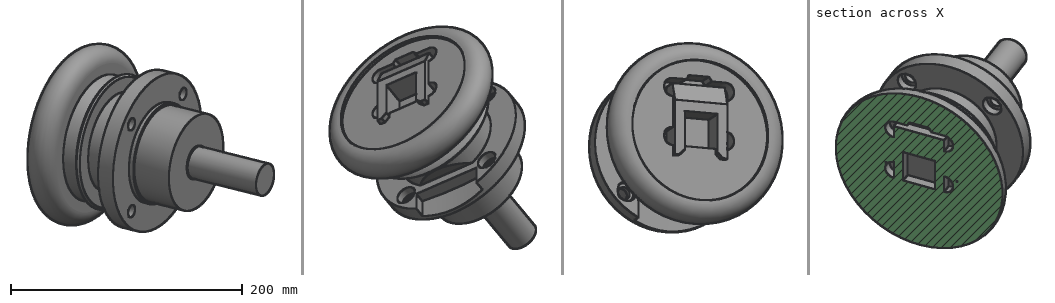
import cadquery as cq
import math


overall_length = 202.0
rim_radius = 80.0
rim_roll_radius = 14.0
rim_face_x = 2.6
rim_centre_radius = rim_radius - rim_roll_radius
rim_back_x = rim_face_x + 2 * rim_roll_radius
dial_radius = 62.5
dial_recess = 2.8
dial_x = rim_face_x + dial_recess
neck_start_radius = 56.2
neck_end_radius = 51.7
lip_x = 42.8
lip_peak_x = 46.9
lip_end_x = 48.9
lip_peak_radius = 60.0
lip_edge_radius = 58.0
lip_arc_radius = 10.7
barrel_radius = 44.8
barrel_end_x = 95.3
flange_x = 75.5
flange_end_x = 91.0
flange_radius = 70.0
rear_body_radius = 43.0
rear_body_end_x = 130.9
collar_radius = 15.0
collar_length = 0.6
shaft_radius = 14.3

screw_spacing = 81.2
counterbore_radius = 8.7
counterbore_depth = 8.3
screw_radius = 5.5

slot_half_width = 30.3
slot_end_x = 87.3
slot_end_bow = 1.6
relief_peak_x = 59.8
relief_front_z = -31.1
relief_rear_z = -36.4

latch_half_width = 24.0
latch_top_z = 40.6
latch_bottom_z = -24.0
bevel_start_z = 24.2
bevel_depth = 6.9
window_half = 15.0
leg_chamfer = 4.6
pocket_floor_x = 22.2
finger_slot_radius = 8.0
upper_slot_z = 36.8
lower_slot_z = -6.9
notch_top_z = 48.7
notch_top_half = 8.9
notch_base_half = 11.7


def disc(x_start, x_end, radius):
    """Solid cylinder along X between two stations."""
    return cq.Workplane("YZ").workplane(offset=x_start).circle(radius).extrude(x_end - x_start)


def plate(points, x_start, x_end):
    """Straight-sided outline of (y, z) points extruded along X."""
    return cq.Workplane("YZ").workplane(offset=x_start).polyline(points).close().extrude(x_end - x_start)


def knob():
    """Rounded rim, recessed dial, tapered neck and lip as one revolved profile."""
    lip_foot_height = math.sqrt(lip_arc_radius**2 - (lip_arc_radius - (lip_peak_x - lip_x)) ** 2)
    lip_foot_radius = lip_peak_radius - lip_foot_height
    profile = (
        cq.Workplane("XY")
        .moveTo(dial_x, 0)
        .lineTo(dial_x, dial_radius)
        .lineTo(rim_face_x, dial_radius)
        .lineTo(rim_face_x, rim_centre_radius)
        .threePointArc((rim_face_x + rim_roll_radius, rim_radius), (rim_back_x, rim_centre_radius))
        .lineTo(rim_back_x, neck_start_radius)
        .lineTo(lip_x, neck_end_radius)
        .lineTo(lip_x, lip_foot_radius)
        .radiusArc((lip_peak_x, lip_peak_radius), lip_arc_radius)
        .lineTo(lip_end_x, lip_edge_radius)
        .lineTo(lip_end_x, 0)
        .close()
    )
    return profile.revolve(360, (0, 0, 0), (1, 0, 0))


def barrel_relief():
    """Two sloping cuts under the barrel that leave a downward ridge."""
    return (
        cq.Workplane("XZ")
        .moveTo(lip_end_x, relief_front_z)
        .lineTo(relief_peak_x, -barrel_radius)
        .lineTo(flange_x, relief_rear_z)
        .lineTo(flange_x, -flange_radius)
        .lineTo(lip_end_x, -flange_radius)
        .close()
        .extrude(barrel_radius, both=True)
    )


def flange_slot():
    """Slot open at the front and bottom of the flange, with a gently bowed end wall."""
    corner_x = slot_end_x - slot_end_bow
    return (
        cq.Workplane("XY")
        .workplane(offset=-flange_radius)
        .moveTo(flange_x, -slot_half_width)
        .lineTo(corner_x, -slot_half_width)
        .threePointArc((slot_end_x, 0), (corner_x, slot_half_width))
        .lineTo(flange_x, slot_half_width)
        .close()
        .extrude(flange_radius - barrel_radius)
    )


def body():
    """Barrel, flange, rear body and shaft."""
    barrel = disc(lip_end_x, barrel_end_x, barrel_radius).cut(barrel_relief())
    flange = disc(flange_x, flange_end_x, flange_radius).cut(flange_slot())
    flange_face = cq.Workplane("YZ").workplane(offset=flange_x)
    screws = flange_face.rect(screw_spacing, screw_spacing, forConstruction=True).vertices()
    counterbores = screws.circle(counterbore_radius).extrude(counterbore_depth)
    through_holes = screws.circle(screw_radius).extrude(flange_end_x - flange_x)
    flange = flange.cut(counterbores).cut(through_holes)
    collar_end_x = rear_body_end_x + collar_length
    return (
        barrel.union(flange)
        .union(disc(barrel_end_x, rear_body_end_x, rear_body_radius))
        .union(disc(rear_body_end_x, collar_end_x, collar_radius))
        .union(disc(collar_end_x, overall_length, shaft_radius))
    )


def dial_slots():
    """Two round-ended slots across the dial; the upper one has a tapered notch above it."""
    slot_length = 2 * (latch_half_width + finger_slot_radius)
    slots = (
        cq.Workplane("YZ")
        .workplane(offset=dial_x)
        .pushPoints([(0, upper_slot_z), (0, lower_slot_z)])
        .slot2D(slot_length, 2 * finger_slot_radius)
        .extrude(pocket_floor_x - dial_x)
    )
    notch_base_z = upper_slot_z + finger_slot_radius
    notch_outline = [
        (-notch_base_half, upper_slot_z),
        (notch_base_half, upper_slot_z),
        (notch_base_half, notch_base_z),
        (notch_top_half, notch_top_z),
        (-notch_top_half, notch_top_z),
        (-notch_base_half, notch_base_z),
    ]
    return slots.union(plate(notch_outline, dial_x, pocket_floor_x))


def latch():
    """Rectangular latch with a bevelled top edge, seated in the dial."""
    return (
        cq.Workplane("XZ")
        .moveTo(0, latch_bottom_z)
        .lineTo(0, bevel_start_z)
        .lineTo(bevel_depth, latch_top_z)
        .lineTo(pocket_floor_x, latch_top_z)
        .lineTo(pocket_floor_x, latch_bottom_z)
        .close()
        .extrude(latch_half_width, both=True)
    )


def latch_opening():
    """Square pocket behind the latch, open downwards between two chamfered legs above the dial."""
    pocket = cq.Workplane("YZ").rect(2 * window_half, 2 * window_half).extrude(pocket_floor_x)
    chamfer_z = latch_bottom_z + leg_chamfer
    flared_half = window_half + leg_chamfer
    gap_outline = [
        (-window_half, 0),
        (window_half, 0),
        (window_half, chamfer_z),
        (flared_half, latch_bottom_z),
        (-flared_half, latch_bottom_z),
        (-window_half, chamfer_z),
    ]
    return pocket.union(plate(gap_outline, 0, dial_x))


handle = knob().cut(dial_slots()).union(latch()).cut(latch_opening())
result = handle.union(body())